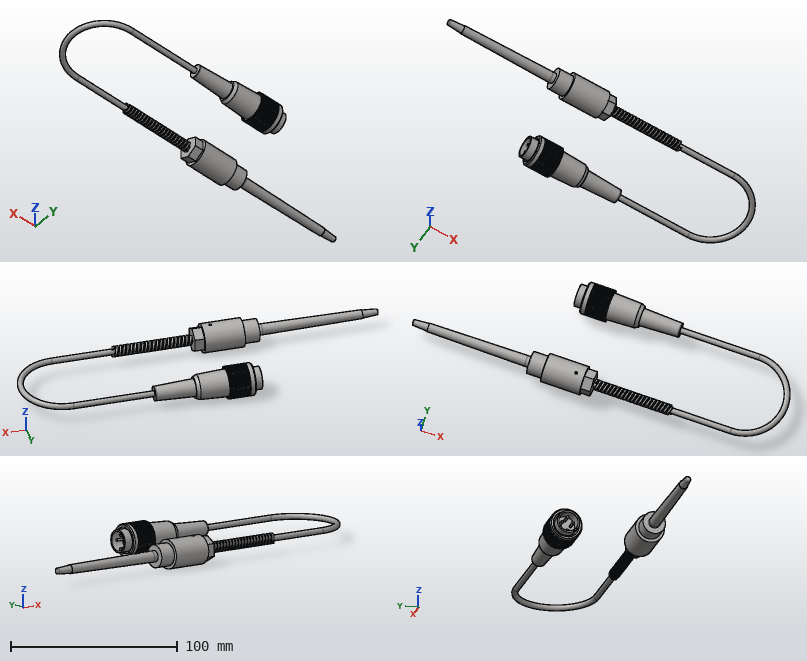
import cadquery as cq
import math

LINE_SPACING = 50.0

TIP_END_DIAMETER = 3.7
TIP_ROOT_DIAMETER = 5.0
TIP_LENGTH = 9.9
TIP_ROUNDING = 0.7
ROD_FRONT_DIAMETER = 5.5
ROD_DIAMETER = 7.0
TAPER_END_X = 72.4

COLLAR_START_X = 75.0
COLLAR_DIAMETER = 14.0
BARREL_START_X = 84.5
BARREL_DIAMETER = 18.0
NUT_START_X = 109.4
NUT_END_X = 115.3
NUT_ACROSS_FLATS = 13.5
VENT_X = 104.0
VENT_DIAMETER = 1.5
VENT_DEPTH = 2.3

OVERALL_LENGTH = 229.7
CABLE_DIAMETER = 3.7
BEND_RADIUS = LINE_SPACING / 2
BEND_CENTER_X = OVERALL_LENGTH - CABLE_DIAMETER / 2 - BEND_RADIUS

COIL_COUNT = 2
SPRING_WIRE_WIDTH = 1.5
SPRING_WIRE_THICKNESS = 1.1
SPRING_OUTER_DIAMETER = 6.5
SPRING_END_X = 165.5
SPRING_LEAD = 4.5
SPRING_END_CLEARANCE = SPRING_WIRE_WIDTH / 2

SHELL_START_X = 86.8
SHELL_DIAMETER = 14.0
SHELL_BORE_DIAMETER = 12.0
SHELL_BORE_DEPTH = 8.0
GRIP_START_X = 91.5
GRIP_END_X = 107.7
GRIP_DIAMETER = 20.0
GRIP_CHAMFER = 0.7
GRIP_RECESS_DIAMETER = 16.0
GRIP_RECESS_DEPTH = 1.1
KNURL_START_X = 94.9
KNURL_COUNT = 72
KNURL_WIDTH = 0.83
KNURL_DEPTH = 0.7
SLEEVE_FRONT_DIAMETER = 17.0
SLEEVE_REAR_DIAMETER = 15.5
SLEEVE_TAPER_END_X = 125.5
SLEEVE_END_X = 127.7
SLEEVE_END_DIAMETER = 13.0
BOOT_FRONT_DIAMETER = 11.0
BOOT_REAR_DIAMETER = 9.0
BOOT_TAPER_END_X = 151.9
BOOT_END_X = 152.5

KEY_WIDTH = 1.5
KEY_TOP_RADIUS = 4.4
KEY_SETBACK = 1.8
PIN_DIAMETER = 1.5
PIN_CIRCLE_RADIUS = 3.5
PIN_SETBACK = 1.8
PIN_ANGLES = (0, 90, 180)


def cylinder(start_x, end_x, diameter, y=0.0, z=0.0):
    """A cylinder along X between two stations."""
    return (
        cq.Workplane("YZ", origin=(start_x, y, z))
        .circle(diameter / 2)
        .extrude(end_x - start_x)
    )


def turned(stations, y=0.0):
    """A body of revolution along X from (x, diameter) stations."""
    outline = [(x, diameter / 2) for x, diameter in stations]
    first_x = stations[0][0]
    last_x = stations[-1][0]
    profile = cq.Workplane("XY").polyline([(first_x, 0), *outline, (last_x, 0)]).close()
    return profile.revolve(360, (0, 0, 0), (1, 0, 0)).translate((0, y, 0))


def make_probe():
    """Rod, collar, barrel and nut of the probe as one body, with a vent hole in the barrel."""
    rod = turned([
        (0, TIP_END_DIAMETER),
        (TIP_LENGTH, TIP_ROOT_DIAMETER),
        (TIP_LENGTH, ROD_FRONT_DIAMETER),
        (TAPER_END_X, ROD_DIAMETER),
        (COLLAR_START_X, ROD_DIAMETER),
    ]).faces("<X").edges().fillet(TIP_ROUNDING)
    collar = cylinder(COLLAR_START_X, BARREL_START_X, COLLAR_DIAMETER)
    barrel = cylinder(BARREL_START_X, NUT_START_X, BARREL_DIAMETER)
    across_corners = NUT_ACROSS_FLATS / math.cos(math.pi / 6)
    nut = (
        cq.Workplane("YZ", origin=(NUT_START_X, 0, 0))
        .transformed(rotate=(0, 0, 90))
        .polygon(6, across_corners)
        .extrude(NUT_END_X - NUT_START_X)
    )
    vent = (
        cq.Workplane("XY", origin=(VENT_X, 0, BARREL_DIAMETER / 2 - VENT_DEPTH))
        .circle(VENT_DIAMETER / 2)
        .extrude(VENT_DEPTH)
    )
    return rod.union(collar).union(barrel).union(nut).cut(vent)


def make_cable():
    path = (
        cq.Workplane("XY")
        .moveTo(NUT_END_X, 0)
        .lineTo(BEND_CENTER_X, 0)
        .threePointArc((BEND_CENTER_X + BEND_RADIUS, BEND_RADIUS), (BEND_CENTER_X, LINE_SPACING))
        .lineTo(BOOT_END_X, LINE_SPACING)
    )
    return cq.Workplane("YZ", origin=(NUT_END_X, 0, 0)).circle(CABLE_DIAMETER / 2).sweep(path)


def make_coil(turn_angle):
    """One left-handed coil of the kink guard, turned about the cable by an angle."""
    coil_radius = (SPRING_OUTER_DIAMETER - SPRING_WIRE_THICKNESS) / 2
    start_x = NUT_END_X + SPRING_END_CLEARANCE
    coil_length = SPRING_END_X - start_x - SPRING_END_CLEARANCE
    helix = cq.Wire.makeHelix(SPRING_LEAD, coil_length, coil_radius, lefthand=True)
    coil = (
        cq.Workplane("XZ", origin=(coil_radius, 0, 0))
        .rect(SPRING_WIRE_THICKNESS, SPRING_WIRE_WIDTH)
        .sweep(cq.Workplane(helix), isFrenet=True)
    )
    return (
        coil.rotate((0, 0, 0), (0, 1, 0), 90)
        .rotate((0, 0, 0), (1, 0, 0), turn_angle)
        .translate((start_x, 0, 0))
    )


def cut_knurl(grip):
    """Cut straight V grooves along the rear of the grip."""
    half_width = KNURL_WIDTH / 2
    rim = GRIP_DIAMETER / 2
    groove = (
        cq.Workplane("YZ", origin=(KNURL_START_X, 0, 0))
        .moveTo(0, rim - KNURL_DEPTH)
        .lineTo(half_width, rim)
        .lineTo(half_width, rim + KNURL_DEPTH)
        .lineTo(-half_width, rim + KNURL_DEPTH)
        .lineTo(-half_width, rim)
        .close()
        .extrude(GRIP_END_X - KNURL_START_X)
        .val()
    )
    grooves = [
        groove.rotate((0, 0, 0), (1, 0, 0), i * 360 / KNURL_COUNT)
        for i in range(KNURL_COUNT)
    ]
    return cq.Workplane(grip.val().cut(*grooves))


def make_grip():
    grip = cylinder(GRIP_START_X, GRIP_END_X, GRIP_DIAMETER).faces("<X").edges().chamfer(GRIP_CHAMFER)
    recess = cylinder(GRIP_START_X, GRIP_START_X + GRIP_RECESS_DEPTH, GRIP_RECESS_DIAMETER)
    return cut_knurl(grip.cut(recess))


def make_shell_bore():
    """The open bore of the shell, less the key on its lower wall."""
    floor_x = SHELL_START_X + SHELL_BORE_DEPTH
    bore = cylinder(SHELL_START_X, floor_x, SHELL_BORE_DIAMETER)
    key_start_x = SHELL_START_X + KEY_SETBACK
    key = cq.Workplane("XY").box(
        floor_x - key_start_x, KEY_WIDTH, SHELL_BORE_DIAMETER / 2, centered=(False, True, False)
    ).translate((key_start_x, 0, -KEY_TOP_RADIUS - SHELL_BORE_DIAMETER / 2))
    return bore.cut(key)


def make_plug():
    shell = cylinder(SHELL_START_X, GRIP_END_X, SHELL_DIAMETER)
    rear = turned([
        (GRIP_END_X, SLEEVE_FRONT_DIAMETER),
        (SLEEVE_TAPER_END_X, SLEEVE_REAR_DIAMETER),
        (SLEEVE_END_X, SLEEVE_END_DIAMETER),
        (SLEEVE_END_X, BOOT_FRONT_DIAMETER),
        (BOOT_TAPER_END_X, BOOT_REAR_DIAMETER),
        (BOOT_END_X, BOOT_REAR_DIAMETER),
    ])
    plug = shell.union(make_grip()).union(rear).cut(make_shell_bore())
    return plug.translate((0, LINE_SPACING, 0))


def make_pin(angle):
    """A contact pin standing on the floor of the shell bore."""
    y = LINE_SPACING + PIN_CIRCLE_RADIUS * math.cos(math.radians(angle))
    z = PIN_CIRCLE_RADIUS * math.sin(math.radians(angle))
    floor_x = SHELL_START_X + SHELL_BORE_DEPTH
    return cylinder(SHELL_START_X + PIN_SETBACK, floor_x, PIN_DIAMETER, y, z)


probe = make_probe()
cable = make_cable()
coils = [make_coil(i * 360 / COIL_COUNT) for i in range(COIL_COUNT)]
plug = make_plug()
pins = [make_pin(angle) for angle in PIN_ANGLES]

result = cq.Compound.makeCompound([
    probe.val(),
    cable.val(),
    *[coil.val() for coil in coils],
    plug.val(),
    *[pin.val() for pin in pins],
])